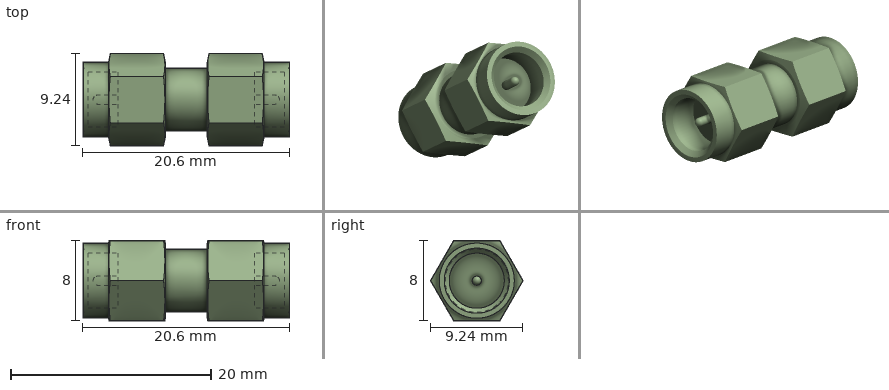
import cadquery as cq

total_length = 20.6
neck_diameter = 6.3

across_flats = 8.0
hex_sides = 6
hex_length = 5.75
hex_face_diameter = 7.1
hex_taper = 0.22
collar_diameter = 7.5
collar_length = 2.5

bore_diameter = 5.5
bore_depth = 3.5
mouth_diameter = 6.5
mouth_depth = 0.5
pin_diameter = 0.92
pin_tip_inset = 1.0

half_length = total_length / 2
corner_radius = across_flats / 3**0.5
hex_outer_x = half_length - collar_length
hex_inner_x = hex_outer_x - hex_length
bore_floor_x = half_length - bore_depth


def revolve_about_x(profile):
    """Close an XY profile and revolve it one full turn about the X axis."""
    return profile.close().revolve(360, (0, 0, 0), (1, 0, 0))


def cylinder_along_x(diameter, start_x, end_x):
    """Solid cylinder on the X axis between two positions."""
    return cq.Workplane("YZ", origin=(start_x, 0, 0)).circle(diameter / 2).extrude(end_x - start_x)


def make_hex():
    """Hexagonal body with a shallow cone cut on both ends."""
    hexagon = (
        cq.Workplane("YZ", origin=(hex_inner_x, 0, 0))
        .polygon(hex_sides, 2 * corner_radius)
        .extrude(hex_length)
    )
    face_radius = hex_face_diameter / 2
    coned_envelope = revolve_about_x(
        cq.Workplane("XY")
        .moveTo(hex_inner_x, 0)
        .lineTo(hex_inner_x, face_radius)
        .lineTo(hex_inner_x + hex_taper, corner_radius)
        .lineTo(hex_outer_x - hex_taper, corner_radius)
        .lineTo(hex_outer_x, face_radius)
        .lineTo(hex_outer_x, 0)
    )
    return hexagon.intersect(coned_envelope)


def make_socket():
    """Blind bore with a conical mouth."""
    return revolve_about_x(
        cq.Workplane("XY")
        .moveTo(bore_floor_x, 0)
        .lineTo(bore_floor_x, bore_diameter / 2)
        .lineTo(half_length - mouth_depth, bore_diameter / 2)
        .lineTo(half_length, mouth_diameter / 2)
        .lineTo(half_length, 0)
    )


def make_pin():
    """Centre pin with a hemispherical tip, rooted inside the hex body."""
    pin_radius = pin_diameter / 2
    tip_x = half_length - pin_tip_inset
    return revolve_about_x(
        cq.Workplane("XY")
        .moveTo(hex_inner_x, 0)
        .lineTo(hex_inner_x, pin_radius)
        .lineTo(tip_x - pin_radius, pin_radius)
        .radiusArc((tip_x, 0), pin_radius)
    )


def make_connector_end():
    """Nut, socket and pin of the +X end."""
    collar = cylinder_along_x(collar_diameter, hex_outer_x - hex_taper, half_length)
    return make_hex().union(collar).cut(make_socket()).union(make_pin())


neck = cylinder_along_x(neck_diameter, -hex_inner_x, hex_inner_x)
connector_end = make_connector_end()
result = neck.union(connector_end).union(connector_end.mirror("YZ"))